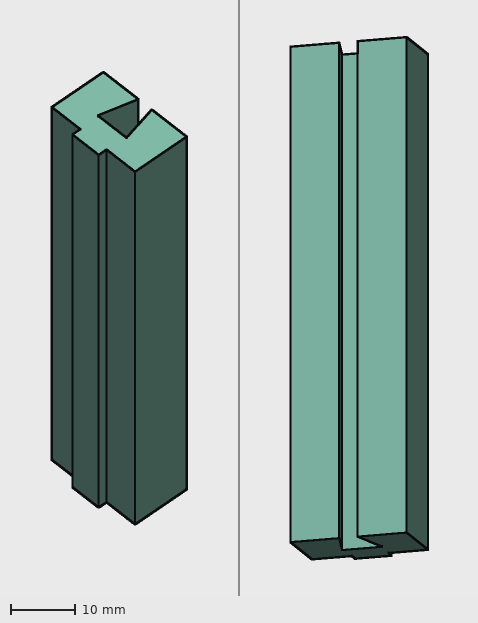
import cadquery as cq

length = 80.0
width = 19.0
depth = 12.7

rib_width = 6.0
rib_height = 1.7

slot_depth = 7.0
slot_mouth_width = 3.0
slot_floor_width = 6.6

body_depth = depth - rib_height
slot_floor_y = depth - slot_depth

body = cq.Workplane("XY").box(width, body_depth, length, centered=(True, False, False))
body = body.translate((0, rib_height, 0))

rib = cq.Workplane("XY").box(rib_width, slot_floor_y, length, centered=(True, False, False))

slot = (
    cq.Workplane("XY")
    .moveTo(-slot_mouth_width / 2, depth)
    .lineTo(slot_mouth_width / 2, depth)
    .lineTo(slot_floor_width / 2, slot_floor_y)
    .lineTo(-slot_floor_width / 2, slot_floor_y)
    .close()
    .extrude(length)
)

result = body.union(rib).cut(slot)